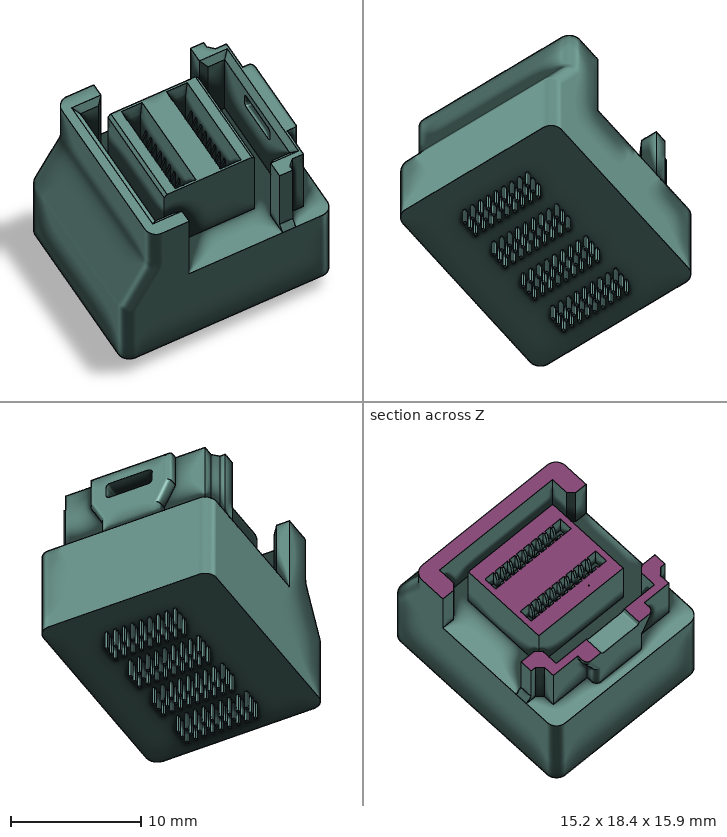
import cadquery as cq
import math

width = 15.15
depth = 18.4
pin_length = 1.6
top_z = 14.25
deck_z = 7.64
corner_radius = 1.0
back_y = depth / 2
front_y = -depth / 2

slope_angle = math.radians(30)
upper_front_y = -6.85
slope_top_z = 10.23
slope_bottom_z = slope_top_z - (upper_front_y - front_y) / math.tan(slope_angle)

wall_chamfer = 0.5

guard_end_y = -3.5
guard_mouth_half = 6.44
guard_mouth_front_y = -6.07

frame_front_y = 4.73
frame_back_y = 7.36
frame_half = 6.1
wing_back_y = 5.89
wing_half = width / 2 - wall_chamfer
frame_mouth_half = 5.67
frame_mouth_back_y = 7.18

pad_half = 3.53
pad_foot_half = 2.54
pad_back_y = 8.37
pad_radius = 0.5
pad_taper_top_z = 11.48
pad_taper_bottom_z = 9.62
window_width = 4.05
window_height = 1.38
window_bottom_z = 11.63
window_radius = 0.37

block_half = 4.47
block_back_y = 3.97
block_front_y = -block_back_y
block_chamfer = 0.25
slot_offset_y = 1.99
slot_length = 8.54
slot_width = 1.8
slot_taper = 0.31
slot_taper_depth = 1.0
slot_depth = 4.0

columns = 9
column_span = 6.0
column_pitch = column_span / (columns - 1)
contact_width = 0.2
contact_top_depth = 2.02
contact_ramp = 0.33
contact_ramp_drop = 0.72
contact_reach = 0.42
contact_tip_drop = 1.23
pin_depth = 0.28
pin_group_centers = (-5.7, -1.9, 1.9, 5.7)
outer_row_pitch = 0.68
inner_row_pitch = 0.72

column_xs = [(i - (columns - 1) / 2) * column_pitch for i in range(columns)]


def block_between(x0, x1, y0, y1, z0, z1):
    return cq.Workplane("XY").box(x1 - x0, y1 - y0, z1 - z0, centered=False).translate((x0, y0, z0))


def extrude_along_x(points, length):
    """Extrude a (Y, Z) outline symmetrically about X = 0."""
    return cq.Workplane("YZ").polyline(points).close().extrude(length / 2, both=True)


def housing_shell():
    """Solid housing with its bent front face and rounded corners."""
    outline = [
        (front_y, 0),
        (back_y, 0),
        (back_y, top_z),
        (upper_front_y, top_z),
        (upper_front_y, slope_top_z),
        (front_y, slope_bottom_z),
    ]
    shell = extrude_along_x(outline, width)
    shell = shell.edges("|X and (not <Z) and (not >Z)").fillet(corner_radius)
    shell = shell.faces(">Y").edges("|Z").fillet(corner_radius)
    return shell.faces("<Y").edges("|Z").fillet(corner_radius)


def mouth(half, y_open, y_closed):
    """Opening of a U-shaped wall, with lead-in chamfers along its top and its open end."""
    side = math.copysign(1, y_closed - y_open)
    inner_half = half - wall_chamfer
    inner_closed = y_closed - side * wall_chamfer
    plan = [
        (-half, y_open),
        (-inner_half, y_open + side * wall_chamfer),
        (-inner_half, inner_closed),
        (inner_half, inner_closed),
        (inner_half, y_open + side * wall_chamfer),
        (half, y_open),
    ]
    channel = cq.Workplane("XY").workplane(offset=deck_z).polyline(plan).close().extrude(top_z - deck_z)
    funnel = (
        cq.Workplane("XY", origin=(0, y_open, top_z))
        .rect(2 * half, 2 * abs(y_closed - y_open))
        .workplane(offset=-wall_chamfer)
        .rect(2 * inner_half, 2 * abs(inner_closed - y_open))
        .loft(ruled=True)
    )
    return channel.union(funnel)


def base_with_guard():
    """Housing cut down to the deck, leaving the front guard wall."""
    above_deck = block_between(-width, width, guard_end_y, depth, deck_z, top_z)
    guard_mouth = mouth(guard_mouth_half, guard_end_y, guard_mouth_front_y)
    return housing_shell().cut(above_deck).cut(guard_mouth)


def latch_pad():
    """Rounded pad whose sides taper inwards below its upper part."""
    front_elevation = [
        (-pad_foot_half, deck_z),
        (pad_foot_half, deck_z),
        (pad_foot_half, pad_taper_bottom_z),
        (pad_half, pad_taper_top_z),
        (pad_half, top_z),
        (-pad_half, top_z),
        (-pad_half, pad_taper_top_z),
        (-pad_foot_half, pad_taper_bottom_z),
    ]
    pad = (
        cq.Workplane("XZ", origin=(0, frame_mouth_back_y, 0))
        .polyline(front_elevation).close()
        .extrude(frame_mouth_back_y - pad_back_y)
    )
    pad = pad.faces(">Y").edges("not #Z").fillet(pad_radius)
    rounded_top = (
        block_between(-pad_half, pad_half, frame_front_y, pad_back_y, deck_z, top_z)
        .faces(">Y").edges(">Z").fillet(pad_radius)
    )
    return pad.intersect(rounded_top)


def latch_frame():
    plan = [
        (-width / 2, frame_front_y),
        (width / 2, frame_front_y),
        (width / 2, wing_back_y),
        (frame_half + wall_chamfer, wing_back_y),
        (frame_half, wing_back_y + wall_chamfer),
        (frame_half, frame_back_y),
        (-frame_half, frame_back_y),
        (-frame_half, wing_back_y + wall_chamfer),
        (-frame_half - wall_chamfer, wing_back_y),
        (-width / 2, wing_back_y),
    ]
    frame = cq.Workplane("XY").workplane(offset=deck_z).polyline(plan).close().extrude(top_z - deck_z)
    elevation = [
        (-width / 2, deck_z),
        (width / 2, deck_z),
        (wing_half, deck_z + wall_chamfer),
        (wing_half, top_z),
        (-wing_half, top_z),
        (-wing_half, deck_z + wall_chamfer),
    ]
    frame = frame.intersect(cq.Workplane("XZ").polyline(elevation).close().extrude(-depth))
    frame_mouth = mouth(frame_mouth_half, frame_front_y, frame_mouth_back_y)
    return frame.union(latch_pad()).cut(frame_mouth).cut(window())


def window():
    """Rounded opening through the back of the frame and the latch pad."""
    return (
        cq.Workplane("XZ", origin=(0, frame_front_y, window_bottom_z + window_height / 2))
        .rect(window_width, window_height)
        .extrude(frame_front_y - back_y)
        .edges("|Y").fillet(window_radius)
    )


def contact_slot():
    """Slot centred on Y = 0 with a tapered entry."""
    throat_length = slot_length - 2 * slot_taper
    throat_width = slot_width - 2 * slot_taper
    entry = (
        cq.Workplane("XY", origin=(0, 0, top_z))
        .rect(slot_length, slot_width)
        .workplane(offset=-slot_taper_depth)
        .rect(throat_length, throat_width)
        .loft(ruled=True)
    )
    throat = cq.Workplane("XY", origin=(0, 0, top_z)).rect(throat_length, throat_width).extrude(-slot_depth)
    slot = entry.union(throat)
    wall_y = throat_width / 2
    contact_z = top_z - contact_top_depth
    profile = [
        (wall_y, contact_z),
        (wall_y - contact_ramp, contact_z - contact_ramp_drop),
        (wall_y - contact_reach, contact_z - contact_tip_drop),
        (wall_y - contact_reach, top_z - slot_depth),
        (wall_y, top_z - slot_depth),
    ]
    contact = extrude_along_x(profile, contact_width)
    for x in column_xs:
        back_contact = contact.translate((x, 0, 0))
        slot = slot.cut(back_contact).cut(back_contact.mirror("XZ"))
    return slot


def connector_block():
    block = block_between(-block_half, block_half, block_front_y, block_back_y, deck_z, top_z)
    block = block.faces(">Z").edges("|X").chamfer(block_chamfer)
    slot = contact_slot()
    for side in (-1, 1):
        block = block.cut(slot.translate((0, side * slot_offset_y, 0)))
    return block


def solder_pins():
    """Four groups of three rows of rectangular pins under the housing."""
    points = []
    for center in pin_group_centers:
        is_outer = abs(center) == max(pin_group_centers)
        pitch = outer_row_pitch if is_outer else inner_row_pitch
        for row in (-1, 0, 1):
            points += [(x, center + row * pitch) for x in column_xs]
    return cq.Workplane("XY").pushPoints(points).rect(contact_width, pin_depth).extrude(-pin_length)


result = base_with_guard().union(latch_frame()).union(connector_block()).union(solder_pins())